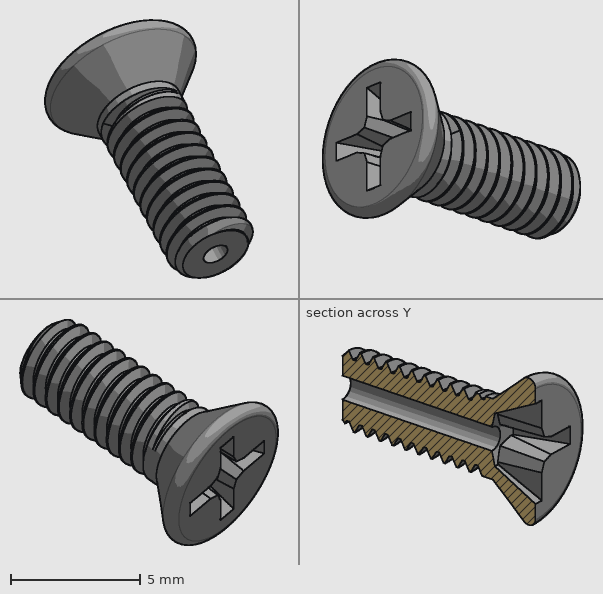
import cadquery as cq
import math

length = 9.53
head_radius = 6.32 / 2
rim_radius = 0.35
head_half_angle = math.radians(41.0)

thread_radius = 1.74
root_radius = 1.36
turns_in_run = 10
run_length = 6.35
pitch = run_length / turns_in_run
flank_angle = math.radians(30.0)
crest_flat = pitch / 8
tip_radius = 1.38
runin_start_x = 2.51
runin_start_angle = 34.0
runin_sweep = 127.0
cylinder_angle = 360
spare_shank = 3 * pitch
trim_margin = 0.1
groove_clearance = 0.03

bore_radius = 0.505
recess_depth = 2.0
floor_drop = 0.14
wing_length = (2.14, 1.12)
wing_half_width = (0.38, 0.19)
fillet_reach = (0.95, 1.02)
corner_offset = (0.53, 0.46)


def make_blank():
    """Revolve the countersunk head and a plain shank with spare length."""
    rim_centre_r = head_radius - rim_radius
    cone_start_x = rim_radius * (1 + math.sin(head_half_angle))
    cone_start_r = rim_centre_r + rim_radius * math.cos(head_half_angle)
    cone_end_x = cone_start_x + (cone_start_r - thread_radius) / math.tan(head_half_angle)
    rim_middle = (rim_radius, head_radius)
    return (
        cq.Workplane("XY")
        .lineTo(0, rim_centre_r)
        .threePointArc(rim_middle, (cone_start_x, cone_start_r))
        .lineTo(cone_end_x, thread_radius)
        .lineTo(length + spare_shank, thread_radius)
        .lineTo(length + spare_shank, 0)
        .close()
        .revolve(360, (0, 0, 0), (1, 0, 0))
    )


def sweep_groove(start_radius, height, cone_angle, start_x, start_angle):
    """Sweep the V groove along a right-hand helix whose root starts at start_radius."""
    depth = thread_radius - root_radius + groove_clearance
    crest_half = (pitch - crest_flat) / 2
    outer_half = crest_half + groove_clearance * math.tan(flank_angle)
    root_half = outer_half - depth * math.tan(flank_angle)
    slant = 1 / math.cos(math.radians(cone_angle))
    helix = cq.Wire.makeHelix(pitch * slant, height * slant, start_radius, angle=cone_angle)
    outer_radius = start_radius + depth
    groove = (
        cq.Workplane("XZ")
        .polyline([
            (start_radius, -root_half),
            (outer_radius, -outer_half),
            (outer_radius, outer_half),
            (start_radius, root_half),
        ])
        .close()
        .sweep(cq.Workplane(helix), isFrenet=True)
    )
    groove = groove.rotate((0, 0, 0), (1, 1, 1), 120)
    return groove.rotate((0, 0, 0), (1, 0, 0), start_angle).translate((start_x, 0, 0))


def cut_thread(body):
    """Cut the groove: a tapering run-in, then full depth past the tip."""
    runin_height = pitch * runin_sweep / 360
    taper = math.degrees(math.atan2(thread_radius - root_radius, runin_height))
    full_start_x = runin_start_x + runin_height
    runin = sweep_groove(thread_radius, runin_height, -taper, runin_start_x, runin_start_angle)
    full = sweep_groove(
        root_radius, length + pitch - full_start_x, cylinder_angle,
        full_start_x, runin_start_angle + runin_sweep,
    )
    return body.cut(full).cut(runin)


def trim_tip(body):
    """Remove the spare shank and chamfer the tip at 45 degrees."""
    chamfer_start_r = thread_radius + trim_margin
    waste = (
        cq.Workplane("XY")
        .moveTo(length, 0)
        .lineTo(length, tip_radius)
        .lineTo(length - (chamfer_start_r - tip_radius), chamfer_start_r)
        .lineTo(length + spare_shank + trim_margin, chamfer_start_r)
        .lineTo(length + spare_shank + trim_margin, 0)
        .close()
        .revolve(360, (0, 0, 0), (1, 0, 0))
    )
    return body.cut(waste)


def recess_outline(depth):
    """Points of the cross outline at a depth below the head face."""
    def tapered(size):
        return size[0] + (size[1] - size[0]) * depth / recess_depth

    length_here = tapered(wing_length)
    half_width = tapered(wing_half_width)
    reach = tapered(fillet_reach)
    corner = tapered(corner_offset)
    quarter = [
        (length_here, -half_width),
        (length_here, half_width),
        (reach, half_width),
        (corner, corner),
        (half_width, reach),
    ]
    points = []
    for _ in range(4):
        points += quarter
        quarter = [(-v, u) for u, v in quarter]
    return points


def make_recess():
    """Tapered cross recess with a shallow conical floor."""
    floor_depth = recess_depth + floor_drop
    cross = (
        cq.Workplane("YZ")
        .polyline(recess_outline(0)).close()
        .workplane(offset=floor_depth)
        .polyline(recess_outline(floor_depth)).close()
        .loft(ruled=True)
    )
    envelope = (
        cq.Workplane("XY")
        .polyline([
            (0, 0),
            (0, head_radius),
            (recess_depth, head_radius),
            (recess_depth, wing_length[1]),
            (floor_depth, bore_radius),
            (floor_depth, 0),
        ])
        .close()
        .revolve(360, (0, 0, 0), (1, 0, 0))
    )
    return cross.intersect(envelope)


bore = cq.Workplane("YZ").circle(bore_radius).extrude(length)
result = trim_tip(cut_thread(make_blank())).cut(make_recess()).cut(bore)